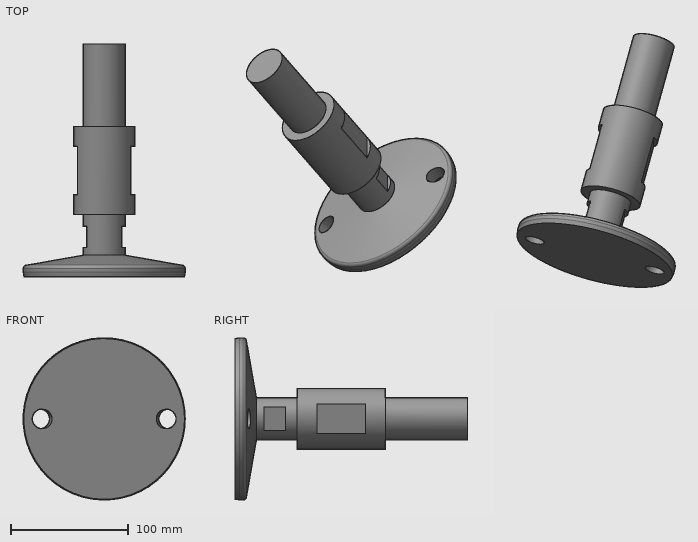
import cadquery as cq
import math


foot_dia = 138.0
sole_dia = 136.6
taper_height = 4.0
shoulder_height = 7.0
edge_radius = 3.0
cone_angle = math.radians(9.9)

spindle_dia = 36.0
total_length = 198.0
spindle_flat_start = 25.0
spindle_flat_length = 18.0
spindle_across_flats = 30.0

bolt_hole_dia = 16.5
bolt_circle_dia = 109.5

sleeve_dia = 52.0
sleeve_start = 53.0
sleeve_length = 75.0
sleeve_flat_length = 41.0
sleeve_flat_start = sleeve_start + (sleeve_length - sleeve_flat_length) / 2
sleeve_across_flats = 45.5

foot_radius = foot_dia / 2
spindle_radius = spindle_dia / 2
edge_center_radius = foot_radius - edge_radius


def edge_point(angle):
    """Point (radius, height) on the rounded edge, angle measured from the radial direction."""
    return (
        edge_center_radius + edge_radius * math.cos(angle),
        shoulder_height + edge_radius * math.sin(angle),
    )


cone_tangent_angle = math.pi / 2 - cone_angle
cone_base_radius, cone_base_height = edge_point(cone_tangent_angle)


def cone_height(radius):
    return cone_base_height + (cone_base_radius - radius) * math.tan(cone_angle)


def cylinder_along_y(diameter, start, length):
    plane = cq.Plane(origin=(0, start, 0), xDir=(1, 0, 0), normal=(0, 1, 0))
    return cq.Workplane(plane).circle(diameter / 2).extrude(length)


def cut_wrench_flats(body, diameter, across_flats, start, length):
    """Cut a pair of parallel flats facing -X and +X."""
    depth = (diameter - across_flats) / 2
    for side in (-1, 1):
        center = (side * (across_flats + depth) / 2, start + length / 2, 0)
        body = body.cut(cq.Workplane("XY").box(depth, length, diameter).translate(center))
    return body


def cut_bolt_holes(body):
    hole_length = 4 * cone_height(0)
    bolt_radius = bolt_circle_dia / 2
    for side in (-1, 1):
        axis = cq.Vector(side * math.sin(cone_angle), math.cos(cone_angle), 0)
        crossing = cq.Vector(side * bolt_radius, cone_height(bolt_radius), 0)
        start = crossing - axis * (hole_length / 2)
        body = body.cut(cq.Workplane(cq.Solid.makeCylinder(bolt_hole_dia / 2, hole_length, start, axis)))
    return body


def make_foot():
    profile = (
        cq.Workplane("XY")
        .lineTo(sole_dia / 2, 0)
        .lineTo(foot_radius, taper_height)
        .lineTo(foot_radius, shoulder_height)
        .threePointArc(edge_point(cone_tangent_angle / 2), edge_point(cone_tangent_angle))
        .lineTo(spindle_radius, cone_height(spindle_radius))
        .lineTo(spindle_radius, total_length)
        .lineTo(0, total_length)
        .close()
    )
    body = profile.revolve(360, (0, 0, 0), (0, 1, 0))
    body = cut_wrench_flats(
        body, spindle_dia, spindle_across_flats, spindle_flat_start, spindle_flat_length
    )
    return cut_bolt_holes(body)


def make_sleeve():
    body = cylinder_along_y(sleeve_dia, sleeve_start, sleeve_length)
    body = body.cut(cylinder_along_y(spindle_dia, sleeve_start, sleeve_length))
    return cut_wrench_flats(
        body, sleeve_dia, sleeve_across_flats, sleeve_flat_start, sleeve_flat_length
    )


foot = make_foot()
sleeve = make_sleeve()

result = cq.Compound.makeCompound([foot.solids().val(), sleeve.solids().val()])